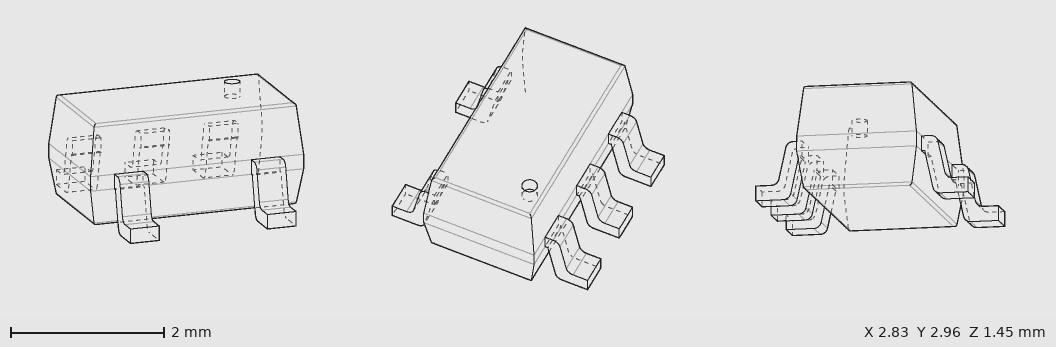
import cadquery as cq
import math

body_length = 2.96
body_width = 1.598
overall_width = 2.83
overall_height = 1.45
standoff = 0.075

band_top = 0.77
face_inset = 0.08
body_edge_radius = 0.04

mark_diameter = 0.2
mark_depth = 0.2
mark_x = -0.48

lead_thickness = 0.198
lead_width = 0.4
lead_pitch = 0.95
foot_length = 0.29
lead_lean = 12.5
bend_radius = 0.1

band_bottom = band_top - lead_thickness


def tapered_block(start_z, end_z):
    """Block narrowing from the full body outline at start_z to the inset face at end_z."""
    height = end_z - start_z
    draft = math.degrees(math.atan(face_inset / abs(height)))
    return (
        cq.Workplane("XY", origin=(0, 0, start_z))
        .rect(body_width, body_length)
        .extrude(height, taper=draft)
    )


def make_body():
    band = cq.Workplane("XY", origin=(0, 0, band_bottom)).rect(body_width, body_length).extrude(lead_thickness)
    upper = tapered_block(band_top, overall_height).faces(">Z").edges().fillet(body_edge_radius)
    lower = tapered_block(band_bottom, standoff).faces("<Z").edges().fillet(body_edge_radius)
    mark = (
        cq.Workplane("XY", origin=(mark_x, lead_pitch, overall_height))
        .circle(mark_diameter / 2)
        .extrude(-mark_depth)
    )
    return band.union(upper).union(lower).cut(mark)


def make_lead(side, y):
    """Lead ending on the band face; side is -1 for the -X side and +1 for the +X side."""
    lean = math.radians(lead_lean)
    tip_x = -overall_width / 2
    root_x = -body_width / 2
    leg_run = (band_top - lead_thickness) * math.tan(lean)
    corner_shift = lead_thickness * (1 / math.cos(lean) - math.tan(lean))

    foot_corner_x = tip_x + foot_length
    shoulder_x = foot_corner_x + leg_run
    heel_x = foot_corner_x + corner_shift
    inner_x = shoulder_x + corner_shift

    lead = (
        cq.Workplane("XZ", origin=(0, lead_width / 2, 0))
        .moveTo(tip_x, 0)
        .lineTo(heel_x, 0)
        .lineTo(inner_x, band_bottom)
        .lineTo(root_x, band_bottom)
        .lineTo(root_x, band_top)
        .lineTo(shoulder_x, band_top)
        .lineTo(foot_corner_x, lead_thickness)
        .lineTo(tip_x, lead_thickness)
        .close()
        .extrude(lead_width)
    )
    for corner_x, corner_z in ((foot_corner_x, lead_thickness), (heel_x, 0), (shoulder_x, band_top)):
        lead = lead.edges(cq.selectors.NearestToPointSelector((corner_x, 0, corner_z))).fillet(bend_radius)
    if side > 0:
        lead = lead.mirror("YZ")
    return lead.translate((0, y, 0))


body = make_body()
leads = []
for side, rows in ((-1, (-1, 0, 1)), (1, (-1, 1))):
    for row in rows:
        leads.append(make_lead(side, row * lead_pitch).val())

result = cq.Compound.makeCompound([body.val(), *leads])